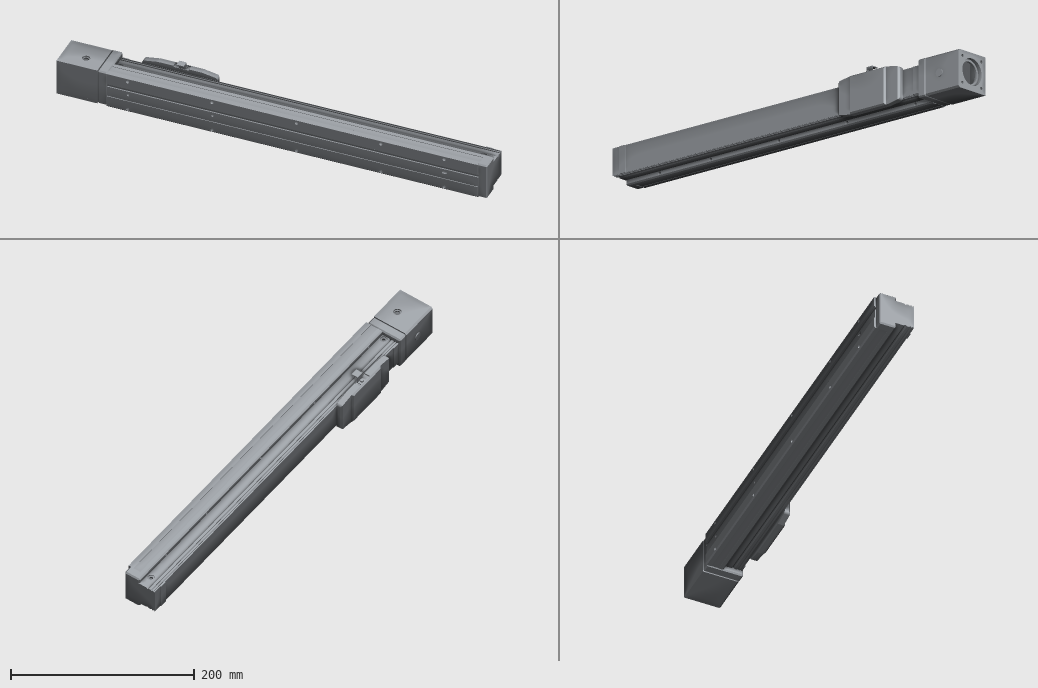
import cadquery as cq


length = 510.0
width = 44.0
mid_z = width / 2
edge_chamfer = 1.5

housing_length = 48.5
housing_base_y = 2.0
housing_top_y = 46.0
housing_chamfer = 2.0
axis_y = (housing_base_y + housing_top_y) / 2
motor_wall = 7.0
lid_start = 5.0
lid_thickness = 3.0
cavity_width = 30.5
cavity_end = 16.5
shaft_hole_diameter = 7.0
shaft_hole_depth = 5.0
shaft_step_diameter = 5.0
shaft_step_depth = 7.0
pilot_diameter = 31.0
pilot_depth = 4.5
bore_diameter = 25.5
bolt_spacing = 30.5
bolt_diameter = 3.4
access_x = 28.0
access_y = 19.0
access_diameter = 9.0
access_step_depth = 1.5
access_inner_diameter = 6.0
plug_height = 1.0

flange_length = 11.5

rail_start = housing_length + flange_length
end_plate_length = 10.0
rail_end = length - end_plate_length
rail_top_y = 43.0
strip_low_y = 6.5
strip_high_y = 16.0
strip_depth = 0.5
shelf_y = 22.0
shelf_depth = 6.0
groove_low_y = 31.0
groove_high_y = 34.5
groove_depth = 1.5
lip_low_ys = (37.5, 41.0)
lip_width = 1.5
lip_depth = 1.0
base_recess_low = 14.5
base_recess_high = 31.0
base_recess_depth = 1.0
base_groove_low = 26.5
base_groove_high = 29.5
base_groove_depth = 2.5

hole_start = 85.0
hole_pitch = 100.0
last_hole_x = 460.0
mount_hole_diameter = 4.0
mount_hole_inset = 3.5
dowel_diameter = 3.0
dowel_depth = 5.0
dowel_slot_length = 6.0

clamp_length = 8.5
clamp_height = 1.0
screw_diameter = 8.0
screw_inner_diameter = 4.0
screw_step_depth = 1.0
screw_depth = 3.0
screw_y = 27.0
screw_end_distance = 4.5

slider_start = 84.0
slider_length = 90.0
slider_body_y = 50.0
slider_top_y = 52.0
slider_taper_length = 18.5
slider_taper = 3.0
slider_end_chamfer = 2.0
slider_corner_radius = 3.5
pad_rim = 0.25

flag_center_x = 132.0
flag_width = 8.5
sheet = 1.0
flag_top_z = 51.5
flag_tip_y = 36.0
flag_leg_y = 44.5
pocket_center_x = 130.5
pocket_length = 18.5
pocket_depth = 1.5
pocket_end_y = 49.5
flag_head_diameter = 4.0
flag_head_height = 2.0


def box(x_range, y_range, z_range):
    """Box between pairs of coordinates."""
    ranges = (x_range, y_range, z_range)
    sizes = [high - low for low, high in ranges]
    corner = tuple(low for low, high in ranges)
    return cq.Workplane("XY").box(*sizes, centered=False).translate(corner)


def rod(diameter, start, direction, depth):
    """Cylinder from a start point along a direction."""
    return cq.Workplane(cq.Solid.makeCylinder(diameter / 2, depth, cq.Vector(*start), cq.Vector(*direction)))


def on_both_sides(shape):
    """The shape together with its mirror image across the middle of the width."""
    return shape.union(shape.mirror("XY", (0, 0, mid_z)))


def side_cut(x_range, y_range, depth):
    """Cutter that lowers both sides by a depth over a stretch of Y."""
    return on_both_sides(box(x_range, y_range, (width - depth, width)))


def v_groove_cut(x_range):
    """Cutter for the V groove in both stepped-in sides."""
    side_z = width - shelf_depth
    corners = [(groove_low_y, side_z), (groove_high_y, side_z)]
    tip = ((groove_low_y + groove_high_y) / 2, side_z - groove_depth)
    start, end = x_range
    groove = cq.Workplane("YZ", origin=(start, 0, 0)).polyline([*corners, tip]).close().extrude(end - start)
    return on_both_sides(groove)


def make_housing_envelope():
    block = box((0, housing_length), (housing_base_y, housing_top_y), (0, width))
    return block.edges("|X and >Y").chamfer(housing_chamfer)


def make_lid_space():
    return box((lid_start, housing_length), (0, housing_top_y), (width - lid_thickness, width))


def make_access_hole():
    through = rod(access_inner_diameter, (access_x, access_y, width), (0, 0, -1), lid_thickness)
    step = rod(access_diameter, (access_x, access_y, width), (0, 0, -1), access_step_depth)
    return through.union(step)


def make_housing():
    housing = make_housing_envelope().cut(on_both_sides(make_lid_space()))
    cavity_y = (axis_y - cavity_width / 2, axis_y + cavity_width / 2)
    housing = housing.cut(box((motor_wall, cavity_end), cavity_y, (lid_thickness, width - lid_thickness)))
    center = (0, axis_y, mid_z)
    housing = housing.cut(rod(pilot_diameter, center, (1, 0, 0), pilot_depth))
    housing = housing.cut(rod(bore_diameter, center, (1, 0, 0), motor_wall))
    cavity_floor = (cavity_end, axis_y, mid_z)
    housing = housing.cut(rod(shaft_hole_diameter, cavity_floor, (1, 0, 0), shaft_hole_depth))
    housing = housing.cut(rod(shaft_step_diameter, cavity_floor, (1, 0, 0), shaft_step_depth))
    for y_side in (-1, 1):
        for z_side in (-1, 1):
            start = (0, axis_y + y_side * bolt_spacing / 2, mid_z + z_side * bolt_spacing / 2)
            housing = housing.cut(rod(bolt_diameter, start, (1, 0, 0), motor_wall))
    plug = rod(access_diameter, (access_x, housing_top_y, mid_z), (0, 1, 0), plug_height)
    return housing.union(plug)


def make_lids():
    lid = make_housing_envelope().intersect(make_lid_space())
    opposite_lid = lid.mirror("XY", (0, 0, mid_z))
    return [lid.cut(make_access_hole()), opposite_lid]


def make_flange():
    flange = box((housing_length, rail_start), (housing_base_y, housing_top_y), (0, width))
    return flange.edges().chamfer(edge_chamfer)


def make_upper_section(x_range, low_y):
    """Narrow section under the slider, with its V grooves and small grooves."""
    section = box(x_range, (low_y, rail_top_y), (shelf_depth, width - shelf_depth)).cut(v_groove_cut(x_range))
    for lip_low_y in lip_low_ys:
        section = section.cut(side_cut(x_range, (lip_low_y, lip_low_y + lip_width), shelf_depth + lip_depth))
    return section


def make_rail():
    span = (rail_start, rail_end)
    base = box(span, (0, shelf_y), (0, width))
    base = base.edges("|X and (>Y or (<Y and <Z))").chamfer(edge_chamfer)
    base = base.cut(side_cut(span, (strip_low_y, strip_high_y), strip_depth))
    base = base.cut(box(span, (0, base_recess_depth), (base_recess_low, base_recess_high)))
    base = base.cut(box(span, (0, base_groove_depth), (base_groove_low, base_groove_high)))
    upper = make_upper_section(span, shelf_y)
    return add_rail_ends(cut_base_holes(base.union(upper)))


def cut_base_holes(rail):
    first_four = [hole_start + i * hole_pitch for i in range(4)]
    for x in first_four + [last_hole_x]:
        for z in (mount_hole_inset, width - mount_hole_inset):
            rail = rail.cut(rod(mount_hole_diameter, (x, 0, z), (0, 1, 0), rail_top_y))
    for x in first_four[:2]:
        rail = rail.cut(rod(dowel_diameter, (x, 0, mid_z), (0, 1, 0), dowel_depth))
    slot = (
        cq.Workplane("XZ", origin=(last_hole_x, 0, mid_z))
        .slot2D(dowel_slot_length, dowel_diameter)
        .extrude(-dowel_depth)
    )
    return rail.cut(slot)


def add_rail_ends(rail):
    """Strip clamp on top and a stepped screw hole in the side, at both rail ends."""
    for end, inward in ((rail_start, 1), (rail_end, -1)):
        clamp_x = sorted((end, end + inward * clamp_length))
        clamp_z = (shelf_depth, width - shelf_depth)
        rail = rail.union(box(clamp_x, (rail_top_y, rail_top_y + clamp_height), clamp_z))
        start = (end + inward * screw_end_distance, screw_y, width - shelf_depth)
        rail = rail.cut(rod(screw_diameter, start, (0, 0, -1), screw_step_depth))
        rail = rail.cut(rod(screw_inner_diameter, start, (0, 0, -1), screw_depth))
    return rail


def make_end_plate():
    span = (rail_end, length)
    base = box(span, (housing_base_y, shelf_y), (0, width)).edges("|X or >X").chamfer(edge_chamfer)
    return base.union(make_upper_section(span, housing_base_y + edge_chamfer))


def make_slider():
    slider_end = slider_start + slider_length
    flat_x = (slider_start + slider_taper_length, slider_end - slider_taper_length)
    outline = [
        (slider_start, slider_taper),
        (flat_x[0], 0),
        (flat_x[1], 0),
        (slider_end, slider_taper),
        (slider_end, width - slider_taper),
        (flat_x[1], width),
        (flat_x[0], width),
        (slider_start, width - slider_taper),
    ]
    plan = cq.Workplane("XZ", origin=(0, rail_top_y, 0)).polyline(outline).close()
    plan = plan.extrude(rail_top_y - slider_body_y)
    plan = plan.edges("|Y and (<X or >X)").fillet(slider_corner_radius)
    bar = box((slider_start, slider_end), (rail_top_y, slider_body_y), (0, width))
    bar = bar.edges("|Z and >Y").chamfer(slider_end_chamfer)
    body = plan.intersect(bar)
    pad_chamfer = slider_top_y - slider_body_y - pad_rim
    pad = box(flat_x, (slider_body_y, slider_top_y), (0, width)).faces(">Y").chamfer(pad_chamfer)
    pocket_x = (pocket_center_x - pocket_length / 2, pocket_center_x + pocket_length / 2)
    pocket = box(pocket_x, (rail_top_y, pocket_end_y), (width - pocket_depth, width))
    return body.union(pad).cut(pocket)


def make_flag():
    flag_x = (flag_center_x - flag_width / 2, flag_center_x + flag_width / 2)
    leg_y = (flag_leg_y - sheet, flag_leg_y)
    seat_z = width - pocket_depth
    foot = box(flag_x, (leg_y[0], pocket_end_y), (seat_z, seat_z + sheet))
    leg = box(flag_x, leg_y, (seat_z, flag_top_z))
    tip = box(flag_x, (flag_tip_y, flag_leg_y), (flag_top_z - sheet, flag_top_z))
    head_center = (flag_center_x, (flag_leg_y + pocket_end_y) / 2, seat_z + sheet)
    head = rod(flag_head_diameter, head_center, (0, 0, 1), flag_head_height)
    return foot.union(leg).union(tip).union(head)


housing = make_housing()
lids = make_lids()
flange = make_flange()
rail = make_rail()
end_plate = make_end_plate()
slider = make_slider()
flag = make_flag()

result = cq.Compound.makeCompound([
    housing.val(),
    *[lid.val() for lid in lids],
    flange.val(),
    rail.val(),
    end_plate.val(),
    slider.val(),
    flag.val(),
])